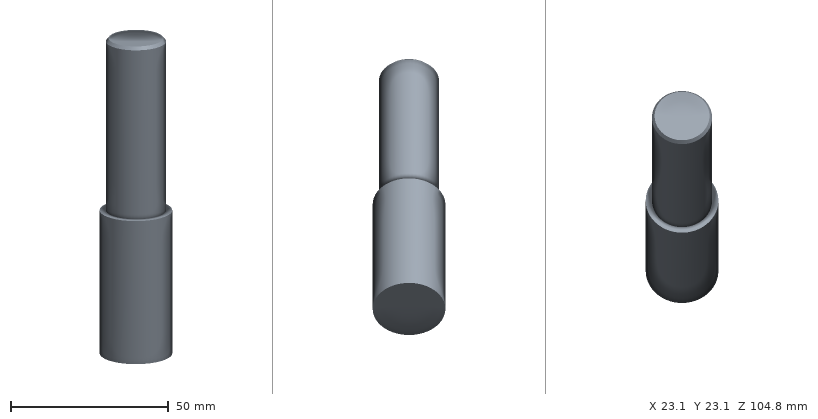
import cadquery as cq

total_height = 104.8
sleeve_height = 47.6
sleeve_diameter = 23.1
pin_diameter = 19.1
pin_chamfer_height = 1.0
pin_chamfer_width = 0.8


def make_pin():
    """Full-length round pin with a chamfered upper end."""
    pin_radius = pin_diameter / 2
    half_profile = (
        cq.Workplane("XZ")
        .lineTo(pin_radius, 0)
        .lineTo(pin_radius, total_height - pin_chamfer_height)
        .lineTo(pin_radius - pin_chamfer_width, total_height)
        .lineTo(0, total_height)
        .close()
    )
    return half_profile.revolve(360, (0, 0), (0, 1))


def make_sleeve():
    """Plain sleeve fitted around the lower part of the pin."""
    return (
        cq.Workplane("XY")
        .circle(sleeve_diameter / 2)
        .circle(pin_diameter / 2)
        .extrude(sleeve_height)
    )


pin = make_pin()
sleeve = make_sleeve()

result = cq.Compound.makeCompound([pin.val(), sleeve.val()])